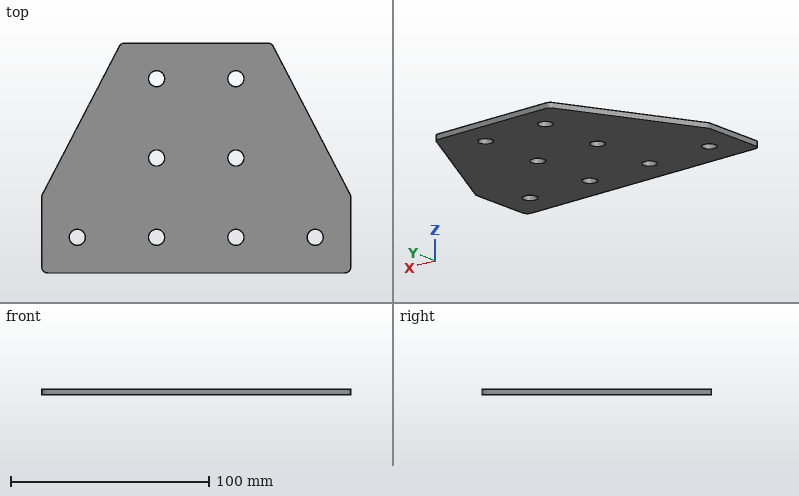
import cadquery as cq

pitch = 40.0
edge_margin = 18.0
thickness = 3.0
hole_diameter = 8.0
corner_radius = 3.0

bottom_row_count = 4
stem_count = 2
row_count = 3

plate_width = (bottom_row_count - 1) * pitch + 2 * edge_margin
plate_height = (row_count - 1) * pitch + 2 * edge_margin
top_width = (stem_count - 1) * pitch + 2 * edge_margin
side_height = 39.0


def row_holes(count, y):
    """Hole centres of one row, spaced by the pitch and centred on X = 0."""
    return [((i - (count - 1) / 2) * pitch, y) for i in range(count)]


def make_plate():
    """T-shaped joining plate with sloped flanks and rounded corners."""
    half_width = plate_width / 2
    half_top = top_width / 2
    outline = [
        (-half_width, 0),
        (half_width, 0),
        (half_width, side_height),
        (half_top, plate_height),
        (-half_top, plate_height),
        (-half_width, side_height),
    ]
    plate = cq.Workplane("XY").polyline(outline).close().extrude(thickness)
    return plate.edges("|Z").fillet(corner_radius)


def drill_holes(plate):
    """Through holes at every grid position of the bottom row and the stem."""
    centres = row_holes(bottom_row_count, edge_margin)
    for row in range(1, row_count):
        centres += row_holes(stem_count, edge_margin + row * pitch)
    drills = (
        cq.Workplane("XY")
        .pushPoints(centres)
        .circle(hole_diameter / 2)
        .extrude(thickness)
    )
    return plate.cut(drills)


result = drill_holes(make_plate())